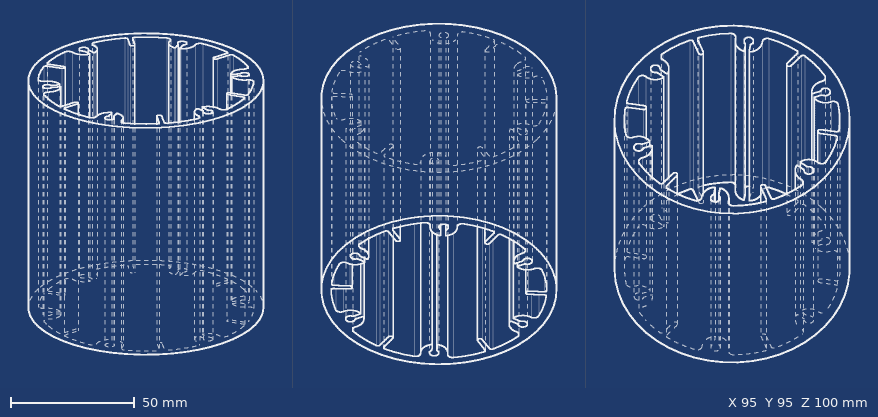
import cadquery as cq
import math

length = 100.0
outer_radius = 95.0 / 2
wall = 4.0
inner_radius = outer_radius - wall

boss_count = 6
boss_first_angle = 30.0
boss_center_radius = 40.2
boss_radius = 5.5
boss_root_fillet = 2.0
channel_diameter = 3.8
slot_width = 2.0
channel_neck_fillet = 0.8
slot_mouth_fillet = 0.3

fin_count = 6
fin_first_angle = 0.0
fin_thickness = 2.0
fin_tip_radius = 35.1
fin_root_fillet = 1.0

tolerance = 0.01


def repeat_around(shape, count, first_angle):
    """Combine copies of a shape made on the +X axis, spaced evenly about Z."""
    copies = cq.Workplane("XY")
    for i in range(count):
        angle = first_angle + i * 360.0 / count
        copies = copies.add(shape.rotate((0, 0, 0), (0, 0, 1), angle))
    return copies.combine()


def radial_bar(start, end, width):
    """Full-length bar along +X between two distances from the tube axis."""
    return (
        cq.Workplane("XY")
        .center((start + end) / 2, 0)
        .rect(end - start, width)
        .extrude(length)
    )


def round_bar(center_radius, radius):
    """Full-length round bar centred on the +X axis."""
    return cq.Workplane("XY").center(center_radius, 0).circle(radius).extrude(length)


def fillet_pairs(body, edge_radius, half_angle, fillet_radius, first_angle, count):
    """Round the pairs of lengthwise edges lying at one distance from the tube axis.

    Each of the evenly spaced pairs straddles its middle angle by half_angle (radians).
    """
    pitch = 360.0 / count

    def is_chosen(edge):
        point = edge.Center()
        at_radius = abs(math.hypot(point.x, point.y) - edge_radius) < tolerance
        angle = math.degrees(math.atan2(point.y, point.x)) - first_angle
        offset = abs((angle + pitch / 2) % pitch - pitch / 2)
        return at_radius and abs(offset - math.degrees(half_angle)) < tolerance

    return body.edges("|Z").filter(is_chosen).fillet(fillet_radius)


def fillet_slot_edges(body, edge_distance, fillet_radius):
    """Round the slot edges lying at a distance along the boss centre line."""
    half_slot = slot_width / 2
    return fillet_pairs(
        body,
        math.hypot(edge_distance, half_slot),
        math.atan2(half_slot, edge_distance),
        fillet_radius,
        boss_first_angle,
        boss_count,
    )


tube = cq.Workplane("XY").circle(outer_radius).circle(inner_radius).extrude(length)

boss = round_bar(boss_center_radius, boss_radius)
body = tube.union(repeat_around(boss, boss_count, boss_first_angle))
boss_half_angle = math.acos(
    (inner_radius**2 + boss_center_radius**2 - boss_radius**2)
    / (2 * inner_radius * boss_center_radius)
)
body = fillet_pairs(
    body, inner_radius, boss_half_angle, boss_root_fillet, boss_first_angle, boss_count
)

fin_tip_center = fin_tip_radius + fin_thickness / 2
fin = radial_bar(fin_tip_center, outer_radius - wall / 2, fin_thickness)
fin = fin.union(round_bar(fin_tip_center, fin_thickness / 2))
body = body.union(repeat_around(fin, fin_count, fin_first_angle))
fin_half_angle = math.asin(fin_thickness / 2 / inner_radius)
body = fillet_pairs(
    body, inner_radius, fin_half_angle, fin_root_fillet, fin_first_angle, fin_count
)

channel = round_bar(boss_center_radius, channel_diameter / 2)
slot_start = boss_center_radius - boss_radius - slot_width
slot = radial_bar(slot_start, boss_center_radius, slot_width)
body = body.cut(repeat_around(channel.union(slot), boss_count, boss_first_angle))

neck_distance = boss_center_radius - math.sqrt((channel_diameter / 2) ** 2 - (slot_width / 2) ** 2)
mouth_distance = boss_center_radius - math.sqrt(boss_radius**2 - (slot_width / 2) ** 2)
body = fillet_slot_edges(body, neck_distance, channel_neck_fillet)
result = fillet_slot_edges(body, mouth_distance, slot_mouth_fillet)